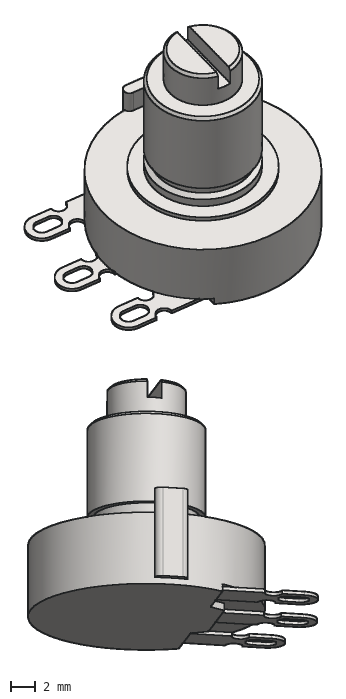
import cadquery as cq
import math

base_top = 0.6
body_top = 5.97
washer_top = 6.35
collar_edge = 7.08
groove_bottom = 7.36
groove_top = 8.29
bushing_top = 15.875
shaft_top = 19.05

body_radius = 9.525
washer_radius = 6.09
bushing_radius = 4.7625
groove_radius = 4.285
shaft_radius = 3.175
rim_chamfer = 0.25

slot_width = 1.17
slot_depth = 1.6

recess_y = -4.44
tongue_y = -5.74
tongue_half_width = 3.08
tongue_flank_angle = 60.0
relief_margin = 1.0

key_outer_x = -10.035
key_thickness = 1.06
key_width = 2.71
key_bottom = 0.53
key_top = 7.93

terminal_pitch = 6.35
terminal_width = 2.79
terminal_thickness = 0.3
terminal_web = 0.69
eyelet_length = 2.54
notch_radius = 0.71
notch_to_tip = 3.9
middle_tip_y = -13.97
outer_tip_y = -12.7


def make_turned_body():
    """Base plate, housing, washer, grooved bushing and shaft as one revolved profile."""
    profile = [
        (0, 0),
        (body_radius, 0),
        (body_radius, body_top),
        (washer_radius, body_top),
        (washer_radius, washer_top),
        (bushing_radius, washer_top),
        (bushing_radius, collar_edge),
        (groove_radius, groove_bottom),
        (groove_radius, groove_top),
        (bushing_radius, groove_top),
        (bushing_radius, bushing_top - rim_chamfer),
        (bushing_radius - rim_chamfer, bushing_top),
        (shaft_radius, bushing_top),
        (shaft_radius, shaft_top - rim_chamfer),
        (shaft_radius - rim_chamfer, shaft_top),
        (0, shaft_top),
    ]
    return cq.Workplane("XZ").polyline(profile).close().revolve(360, (0, 0, 0), (0, 1, 0))


def make_screwdriver_slot():
    """Cutter for the slot that runs along X through the shaft end."""
    return (
        cq.Workplane("XY")
        .workplane(offset=shaft_top - slot_depth)
        .rect(2 * bushing_radius, slot_width)
        .extrude(slot_depth)
    )


def make_front_relief():
    """Cutter that trims the base plate at the front, leaving a tapered tongue in the middle."""
    flank_width = (recess_y - tongue_y) / math.tan(math.radians(tongue_flank_angle))
    tongue_root = tongue_half_width + flank_width
    clear_of_body = body_radius + relief_margin
    outline = [
        (-clear_of_body, recess_y),
        (-tongue_root, recess_y),
        (-tongue_half_width, tongue_y),
        (tongue_half_width, tongue_y),
        (tongue_root, recess_y),
        (clear_of_body, recess_y),
        (clear_of_body, -clear_of_body),
        (-clear_of_body, -clear_of_body),
    ]
    return cq.Workplane("XY").polyline(outline).close().extrude(base_top)


def make_key():
    """Upright key with fully rounded ends on the housing wall."""
    return (
        cq.Workplane("XY")
        .workplane(offset=key_bottom)
        .center(key_outer_x + key_thickness / 2, 0)
        .slot2D(key_width, key_thickness, 90)
        .extrude(key_top - key_bottom)
    )


def make_terminal(center_x, root_y, tip_y):
    """Flat solder lug with a round tip, an eyelet and a pair of side notches."""
    half_width = terminal_width / 2
    tip_center_y = tip_y + half_width
    eyelet_width = terminal_width - 2 * terminal_web
    eyelet_y = tip_y + terminal_web + eyelet_length / 2
    plane = cq.Workplane("XY", origin=(center_x, 0, base_top - terminal_thickness))
    lug = (
        plane.moveTo(-half_width, root_y)
        .lineTo(-half_width, tip_center_y)
        .threePointArc((0, tip_y), (half_width, tip_center_y))
        .lineTo(half_width, root_y)
        .close()
        .extrude(terminal_thickness)
    )
    eyelet = plane.center(0, eyelet_y).slot2D(eyelet_length, eyelet_width, 90).extrude(terminal_thickness)
    notch_y = tip_y + notch_to_tip
    notch_centers = [(-half_width, notch_y), (half_width, notch_y)]
    notches = plane.pushPoints(notch_centers).circle(notch_radius).extrude(terminal_thickness)
    return lug.cut(eyelet).cut(notches)


result = make_turned_body().cut(make_screwdriver_slot()).cut(make_front_relief())
result = result.union(make_key())
result = result.union(make_terminal(0, tongue_y, middle_tip_y))
for side in (-1, 1):
    result = result.union(make_terminal(side * terminal_pitch, recess_y, outer_tip_y))